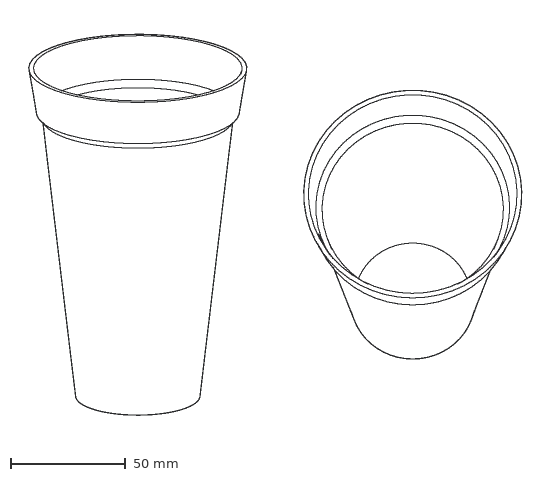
import cadquery as cq

height = 150.0
rim_radius = 95.0 / 2
base_radius = 27.2
wall = 2.1
floor_thickness = 2.0

collar_height = 20.0
collar_bottom_radius = 44.2

shoulder_height = 3.0
body_top_radius = 41.5
ledge_rise = 1.0

collar_bottom_z = height - collar_height
body_top_z = collar_bottom_z - shoulder_height

body_slope = (body_top_radius - base_radius) / body_top_z
floor_radius = base_radius - wall + body_slope * floor_thickness

section = [
    (0, 0),
    (base_radius, 0),
    (body_top_radius, body_top_z),
    (collar_bottom_radius, collar_bottom_z),
    (rim_radius, height),
    (rim_radius - wall, height),
    (collar_bottom_radius - wall, collar_bottom_z + ledge_rise),
    (body_top_radius - wall, body_top_z + ledge_rise),
    (floor_radius, floor_thickness),
    (0, floor_thickness),
]

result = cq.Workplane("XZ").polyline(section).close().revolve(360, (0, 0, 0), (0, 1, 0))